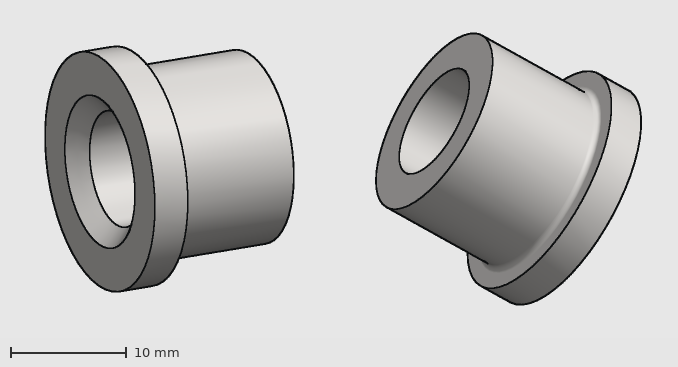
import cadquery as cq

flange_diameter = 21.0
flange_thickness = 3.2
total_length = 14.5
barrel_diameter = 17.0
bore_diameter = 10.2
countersink_diameter = 13.4
neck_fillet = 0.5

flange_radius = flange_diameter / 2
barrel_radius = barrel_diameter / 2
bore_radius = bore_diameter / 2
countersink_radius = countersink_diameter / 2
countersink_depth = countersink_radius - bore_radius

front = -total_length / 2
back = total_length / 2
flange_back = front + flange_thickness

section = (
    cq.Workplane("XY")
    .moveTo(countersink_radius, front)
    .lineTo(flange_radius, front)
    .lineTo(flange_radius, flange_back)
    .lineTo(barrel_radius + neck_fillet, flange_back)
    .radiusArc((barrel_radius, flange_back + neck_fillet), neck_fillet)
    .lineTo(barrel_radius, back)
    .lineTo(bore_radius, back)
    .lineTo(bore_radius, front + countersink_depth)
    .close()
)

result = section.revolve(360, (0, 0, 0), (0, 1, 0))